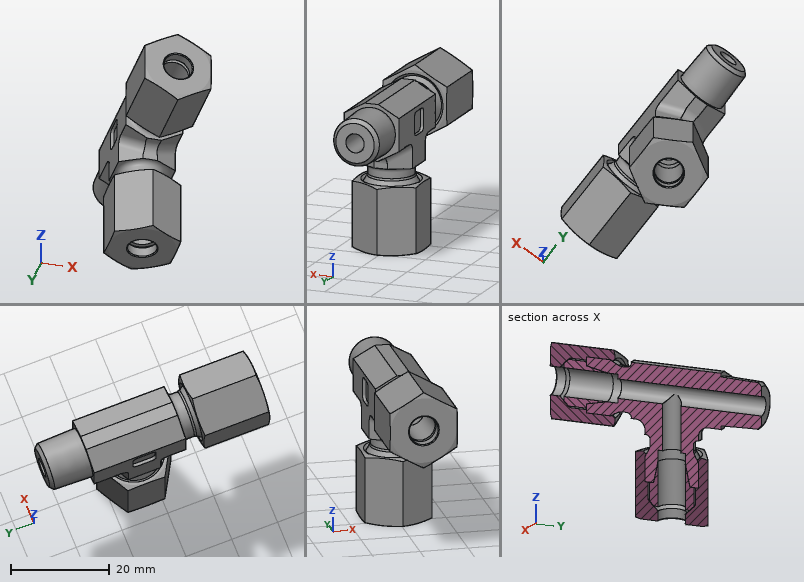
import cadquery as cq
import math


bore_dia = 4.0

body_half_width = 6.0
body_top_flat = 3.0
body_side_flat = 7.0
body_reach = 9.0
body_thread_end = 11.0
junction_radius = 2.0
cutter_reach = 30.0

panel_size = 5.0
panel_corner_radius = 1.0
panel_depth = 0.7

taper_tip_dia = 10.0
taper_ratio = 1 / 16
taper_collar_length = 1.0
taper_end = 20.0
taper_chamfer = 0.8

neck_dia = 9.7
neck_fillet = 1.0
runout_start = 11.3
runout_radius = 0.9
runout_angle = 30.0
stud_dia = 12.0
stud_end = 19.0
tube_dia = 6.0
tube_stop = 12.0
mouth_dia = 8.0
mouth_half_angle = 12.0
mouth_depth = (mouth_dia - tube_dia) / 2 / math.tan(math.radians(mouth_half_angle))

nut_across_flats = 14.0
nut_length = 14.5
nut_end = 27.0
nut_start = nut_end - nut_length
nut_face_dia = 13.8
nut_chamfer_angle = 15.0
nut_mouth_dia = 12.5
nut_thread_dia = 10.38
nut_collar_length = 2.2
tube_chamfer = 0.2

ferrule_dia = 10.0
ferrule_end = 23.93

port_angles = (90, 180)


def turn_port(shape, angle):
    return shape.rotate((0, 0, 0), (1, 0, 0), angle)


def corner_cutter(side_y, facet_x, facet_z):
    """Endless wedge that clears the space beside the branch and below the run.

    Its two faces lie on matching facets of run and branch, and its edge is rounded.
    (facet_x, facet_z) is the outward direction of the run facet.
    """
    run_normal = cq.Vector(facet_x, 0, facet_z)
    branch_normal = cq.Vector(facet_x, -side_y * facet_z, 0)
    half_wedge = (math.pi - run_normal.getAngle(branch_normal)) / 2
    ridge_x = math.copysign(body_top_flat / 2, facet_x)
    section_plane = cq.Plane(
        origin=(ridge_x, side_y * body_half_width, -body_half_width),
        xDir=run_normal + branch_normal,
        normal=run_normal.cross(branch_normal),
    )
    along = math.cos(half_wedge)
    across = math.sin(half_wedge)
    tangent = junction_radius / math.tan(half_wedge)
    nose = junction_radius / across - junction_radius
    return (
        cq.Workplane(section_plane)
        .moveTo(cutter_reach * along, -cutter_reach * across)
        .lineTo(tangent * along, -tangent * across)
        .threePointArc((nose, 0), (tangent * along, tangent * across))
        .lineTo(cutter_reach * along, cutter_reach * across)
        .close()
        .extrude(cutter_reach, both=True)
    )


def make_body():
    """Run and branch with the same flat and slanted facets, rounded where they meet."""
    half = body_half_width
    half_top = body_top_flat / 2
    half_side = body_side_flat / 2
    outline = [
        (half, -body_reach),
        (half, half_side),
        (half_top, half),
        (-half_top, half),
        (-half, half_side),
        (-half, -body_reach),
    ]
    body = (
        cq.Workplane("XZ", origin=(0, body_thread_end, 0))
        .polyline(outline)
        .close()
        .extrude(body_thread_end + body_reach)
    )
    shoulder = math.atan2(half - half_side, half - half_top)
    for side_y in (1, -1):
        for facet_angle in (-shoulder, 0, shoulder):
            body = body.cut(corner_cutter(side_y, math.sin(facet_angle), -math.cos(facet_angle)))
    return body


def make_taper_thread():
    collar_end = body_thread_end + taper_collar_length
    chamfer_start = taper_end - taper_chamfer
    tip = taper_tip_dia / 2
    base = tip + (chamfer_start - collar_end) * taper_ratio / 2
    profile = (
        cq.Workplane("XY")
        .moveTo(0, body_thread_end)
        .lineTo(base, body_thread_end)
        .lineTo(base, collar_end)
        .lineTo(tip, chamfer_start)
        .lineTo(tip - taper_chamfer, taper_end)
        .lineTo(0, taper_end)
        .close()
    )
    return profile.revolve(360, (0, 0), (0, 1))


def make_stud():
    """Necked stud along +Z that starts on the end face of the body."""
    neck = neck_dia / 2
    angle = math.radians(runout_angle)
    arc_end = (neck + runout_radius * (1 - math.cos(angle)), runout_start + runout_radius * math.sin(angle))
    cone_end = arc_end[1] + (stud_dia / 2 - arc_end[0]) / math.tan(angle)
    profile = (
        cq.Workplane("XZ")
        .moveTo(0, body_reach)
        .lineTo(neck + neck_fillet, body_reach)
        .radiusArc((neck, body_reach + neck_fillet), neck_fillet)
        .lineTo(neck, runout_start)
        .radiusArc(arc_end, -runout_radius)
        .lineTo(stud_dia / 2, cone_end)
        .lineTo(stud_dia / 2, stud_end)
        .lineTo(0, stud_end)
        .close()
    )
    return profile.revolve(360, (0, 0), (0, 1))


def make_socket():
    """Cutter for the tube socket along +Z, with its conical mouth at the stud end."""
    profile = (
        cq.Workplane("XZ")
        .moveTo(0, tube_stop)
        .lineTo(tube_dia / 2, tube_stop)
        .lineTo(tube_dia / 2, stud_end - mouth_depth)
        .lineTo(mouth_dia / 2, stud_end)
        .lineTo(0, stud_end)
        .close()
    )
    return profile.revolve(360, (0, 0), (0, 1))


def make_tee():
    panel = (
        cq.Workplane("YZ", origin=(-body_half_width, 0, 0))
        .rect(panel_size, panel_size)
        .extrude(panel_depth)
        .edges("|X")
        .fillet(panel_corner_radius)
    )
    tee = make_body().cut(panel).union(make_taper_thread())
    for angle in port_angles:
        tee = tee.union(turn_port(make_stud(), angle)).cut(turn_port(make_socket(), angle))
    run_bore = cq.Workplane("XZ", origin=(0, taper_end, 0)).circle(bore_dia / 2).extrude(taper_end + stud_end)
    branch_bore = cq.Workplane("XY").circle(bore_dia / 2).extrude(-stud_end)
    return tee.cut(run_bore).cut(branch_bore)


def make_nut():
    """Hexagon nut along +Z, flats facing +X and -X, both ends chamfered."""
    corner = nut_across_flats / math.sqrt(3)
    face = nut_face_dia / 2
    rise = (corner - face) * math.tan(math.radians(nut_chamfer_angle))
    hexagon = (
        cq.Workplane("XY", origin=(0, 0, nut_start))
        .polygon(6, 2 * corner)
        .extrude(nut_length)
        .rotate((0, 0, 0), (0, 0, 1), 30)
    )
    envelope = (
        cq.Workplane("XZ")
        .moveTo(0, nut_start)
        .lineTo(face, nut_start)
        .lineTo(corner, nut_start + rise)
        .lineTo(corner, nut_end - rise)
        .lineTo(face, nut_end)
        .lineTo(0, nut_end)
        .close()
        .revolve(360, (0, 0), (0, 1))
    )
    tube = tube_dia / 2
    thread = nut_thread_dia / 2
    mouth = nut_mouth_dia / 2
    collar_start = nut_end - nut_collar_length
    cavity = (
        cq.Workplane("XZ")
        .moveTo(0, nut_start)
        .lineTo(mouth, nut_start)
        .lineTo(thread, nut_start + mouth - thread)
        .lineTo(thread, collar_start - (thread - tube))
        .lineTo(tube, collar_start)
        .lineTo(tube, nut_end - tube_chamfer)
        .lineTo(tube + tube_chamfer, nut_end)
        .lineTo(0, nut_end)
        .close()
        .revolve(360, (0, 0), (0, 1))
    )
    return hexagon.intersect(envelope).cut(cavity).cut(make_stud())


def make_ferrule():
    """Cutting ring along +Z: nose in the stud mouth, back on the 45 degree seat of the nut."""
    tube = tube_dia / 2
    outer = ferrule_dia / 2
    collar_start = nut_end - nut_collar_length
    back = tube + collar_start - ferrule_end
    profile = (
        cq.Workplane("XZ")
        .moveTo(tube, stud_end - mouth_depth)
        .lineTo(mouth_dia / 2, stud_end)
        .lineTo(outer, stud_end)
        .lineTo(outer, ferrule_end - (outer - back))
        .lineTo(back, ferrule_end)
        .lineTo(tube, ferrule_end)
        .close()
    )
    return profile.revolve(360, (0, 0), (0, 1))


tee = make_tee()
nuts = [turn_port(make_nut(), angle) for angle in port_angles]
ferrules = [turn_port(make_ferrule(), angle) for angle in port_angles]

result = cq.Compound.makeCompound(
    [tee.val()] + [nut.val() for nut in nuts] + [ferrule.val() for ferrule in ferrules]
)